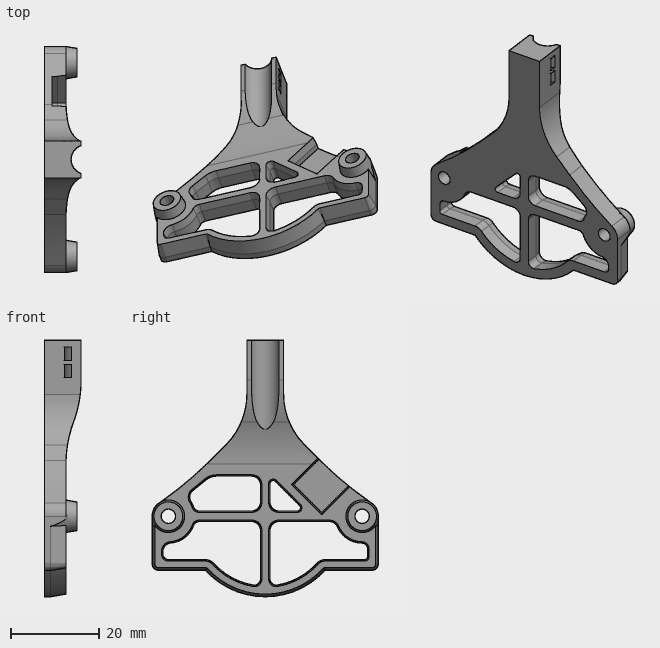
import cadquery as cq
import math

plate_thickness = 4.95
arm_thickness = 8.35
arm_half_width = 4.2
total_height = 58.1
overall_span = 51.15
half_span = overall_span / 2
draft = 10.0
straight_depth = 1.45
opening_draft_x = 3.0

ear_radius = 3.65
ear_y = half_span - ear_radius
ear_z = 18.25
hole_diameter = 3.2
boss_top_x = 7.45
boss_top_radius = 3.25

bow_radius = ear_z
foot_z = 6.0
foot_corner_radius = 1.45
flare_radius = 16.15
flare_top_z = 45.8
flare_straight_drop = 3.55

step_radius = 27.3
step_top_z = 49.1

rim = 2.45
rib_half_width = 1.1
rib_bottom_z = 17.0
rib_top_z = 19.45
window_top_z = 27.3
window_corner = 1.9
bow_corner = 1.4
tight_corner = 1.3
small_corner = 0.7
slant_corner = 3.8
slant_top = (-12.4, window_top_z)
slant_end = (-19.75, 21.3)
brace_level = 28.4

pocket_floor_x = 1.75
pocket_length = 23.25
pocket_low_side = 6.3
pocket_high_side = 19.0

groove_radius = 3.3
groove_bottom_x = 6.1
groove_axis_x = groove_bottom_x + groove_radius
slot_inner_radius = 5.3
slot_outer_radius = 6.4
slot_spans = [(49.6, 52.55), (53.45, 56.5)]

BLANK_DEPTH = 0.6
SIN45 = math.sqrt(0.5)


def disc(y, z, radius, x, depth):
    return cq.Workplane("YZ", origin=(x, 0, 0)).center(y, z).circle(radius).extrude(depth)


def box(x_span, y_span, z_span):
    spans = (x_span, y_span, z_span)
    sizes = [high - low for low, high in spans]
    return cq.Workplane("XY").box(*sizes, centered=False).translate([low for low, _ in spans])


def outline(x):
    """Closed outer contour at the given X."""
    line_top = (arm_half_width + flare_radius * (1 - SIN45), flare_top_z - flare_radius * SIN45)
    line_end = (line_top[0] + flare_straight_drop, line_top[1] - flare_straight_drop)
    flare_mid = (
        arm_half_width + flare_radius * (1 - math.cos(math.pi / 8)),
        flare_top_z - flare_radius * math.sin(math.pi / 8),
    )

    dy = line_end[0] - ear_y
    dz = line_end[1] - ear_z
    shoulder_radius = (dy**2 + dz**2 - ear_radius**2) / (2 * (ear_radius - (dy + dz) * SIN45))
    centre_y = line_end[0] + shoulder_radius * SIN45
    centre_z = line_end[1] + shoulder_radius * SIN45
    touch_angle = math.atan2(centre_z - ear_z, centre_y - ear_y)
    mid_angle = (touch_angle + math.pi / 4) / 2
    shoulder_mid = (
        centre_y - shoulder_radius * math.cos(mid_angle),
        centre_z - shoulder_radius * math.sin(mid_angle),
    )
    touch = (ear_y + ear_radius * math.cos(touch_angle), ear_z + ear_radius * math.sin(touch_angle))
    ear_mid = (
        ear_y + ear_radius * math.cos(touch_angle / 2),
        ear_z + ear_radius * math.sin(touch_angle / 2),
    )

    bow_half = math.sqrt(bow_radius**2 - (bow_radius - foot_z) ** 2)
    corner_inset = foot_corner_radius * (1 - SIN45)

    def left(point):
        return (-point[0], point[1])

    return (
        cq.Workplane("YZ", origin=(x, 0, 0))
        .moveTo(-arm_half_width, total_height)
        .lineTo(arm_half_width, total_height)
        .lineTo(arm_half_width, flare_top_z)
        .threePointArc(flare_mid, line_top)
        .lineTo(*line_end)
        .threePointArc(shoulder_mid, touch)
        .threePointArc(ear_mid, (half_span, ear_z))
        .lineTo(half_span, foot_z + foot_corner_radius)
        .threePointArc(
            (half_span - corner_inset, foot_z + corner_inset),
            (half_span - foot_corner_radius, foot_z),
        )
        .lineTo(bow_half, foot_z)
        .threePointArc((0, 0), (-bow_half, foot_z))
        .lineTo(-half_span + foot_corner_radius, foot_z)
        .threePointArc(
            (-half_span + corner_inset, foot_z + corner_inset),
            (-half_span, foot_z + foot_corner_radius),
        )
        .lineTo(-half_span, ear_z)
        .threePointArc(left(ear_mid), left(touch))
        .threePointArc(left(shoulder_mid), left(line_end))
        .lineTo(*left(line_top))
        .threePointArc(left(flare_mid), (-arm_half_width, flare_top_z))
        .close()
    )


def side_profile():
    """Solid bounded behind by the plate back, the rounded step and the arm back."""
    step = arm_thickness - plate_thickness
    step_height = math.sqrt(4 * step_radius * step - step**2)
    middle = (plate_thickness + step / 2, step_top_z - step_height / 2)
    half_turn = math.asin(step_height / 2 / step_radius) / 2
    bulge_x = step_radius * (1 - math.cos(half_turn))
    bulge_z = step_radius * math.sin(half_turn)
    step_bottom_z = step_top_z - step_height
    return (
        cq.Workplane("XZ")
        .lineTo(plate_thickness, 0)
        .lineTo(plate_thickness, step_bottom_z)
        .threePointArc((plate_thickness + bulge_x, step_bottom_z + bulge_z), middle)
        .threePointArc((arm_thickness - bulge_x, step_top_z - bulge_z), (arm_thickness, step_top_z))
        .lineTo(arm_thickness, total_height)
        .lineTo(0, total_height)
        .close()
        .extrude(half_span, both=True)
    )


def boss(y):
    height = boss_top_x - straight_depth
    base_radius = boss_top_radius + height * math.tan(math.radians(draft))
    base_centre = cq.Vector(straight_depth, y, ear_z)
    cone = cq.Solid.makeCone(base_radius, boss_top_radius, height, base_centre, cq.Vector(1, 0, 0))
    return cq.Workplane(cone)


def window(region, corners):
    """Cutter through the plate that opens towards +X behind the draft line.

    Each (y, z, radius) rounds the corner of the region nearest to (y, z).
    """
    for y, z, radius in corners:
        nearest = cq.selectors.NearestToPointSelector((BLANK_DEPTH / 2, y, z))
        region = region.edges("|X").edges(nearest).fillet(radius)
    wire = region.faces("<X").wires().val()
    upright = cq.Workplane("YZ").add(wire).toPending().extrude(opening_draft_x)
    raised = wire.translate(cq.Vector(opening_draft_x, 0, 0))
    opening = (
        cq.Workplane("YZ", origin=(opening_draft_x, 0, 0))
        .add(raised)
        .toPending()
        .extrude(plate_thickness - opening_draft_x, taper=-draft)
    )
    return upright.union(opening)


def windows():
    """Cutters for the four windows: the contour moved inward by the rim, cut up by the ribs."""
    inside = outline(0).offset2D(-rim).extrude(BLANK_DEPTH)
    for y in (ear_y, -ear_y):
        inside = inside.cut(disc(y, ear_z, ear_radius + rim, 0, BLANK_DEPTH))

    def bay(y_span, z_span):
        return inside.intersect(box((0, BLANK_DEPTH), y_span, z_span))

    foot_y = half_span - rim
    foot_top = foot_z + rim
    ear_top = ear_z - ear_radius - rim
    ear_side = ear_y - ear_radius - rim
    low_left = window(
        bay((rib_half_width, half_span), (0, rib_bottom_z)),
        [
            (rib_half_width, rib_bottom_z, window_corner),
            (rib_half_width, rim, bow_corner),
            (ear_side, rib_bottom_z, window_corner),
            (foot_y, ear_top, tight_corner),
            (foot_y, foot_top, small_corner),
        ],
    )
    low_right = window(
        bay((-half_span, -rib_half_width), (0, rib_bottom_z)),
        [
            (-rib_half_width, rib_bottom_z, window_corner),
            (-rib_half_width, rim, bow_corner),
            (-ear_side, rib_bottom_z, tight_corner),
            (-foot_y, ear_top, window_corner),
            (-foot_y, foot_top, tight_corner),
        ],
    )
    slanted = (
        cq.Workplane("YZ")
        .polyline([
            (-rib_half_width, rib_top_z),
            (-rib_half_width, window_top_z),
            slant_top,
            slant_end,
            (slant_end[0], rib_top_z),
        ])
        .close()
        .extrude(BLANK_DEPTH)
        .cut(disc(-ear_y, ear_z, ear_radius + rim, 0, BLANK_DEPTH))
    )
    slant_foot = (slant_end[0] + rim, slant_end[1] + rim)
    high_right = window(
        slanted,
        [
            (-rib_half_width, rib_top_z, window_corner),
            (-rib_half_width, window_top_z, window_corner),
            (-ear_side, rib_top_z, tight_corner),
            (*slant_top, slant_corner),
            (*slant_foot, window_corner),
        ],
    )
    brace_foot = (brace_level - rib_top_z, rib_top_z)
    brace_head = (rib_half_width, brace_level - rib_half_width)
    triangle = (
        cq.Workplane("YZ")
        .polyline([(rib_half_width, rib_top_z), brace_foot, brace_head])
        .close()
        .extrude(BLANK_DEPTH)
    )
    small = window(
        triangle,
        [
            (rib_half_width, rib_top_z, window_corner),
            (*brace_foot, small_corner),
            (*brace_head, small_corner),
        ],
    )
    return [low_left, low_right, high_right, small]


def pocket():
    """Diagonal pocket whose end wall leaves a rib along the small window."""
    end_distance = brace_level * SIN45 + rim
    width = (pocket_high_side - pocket_low_side) * SIN45
    side_distance = (pocket_high_side + pocket_low_side) / 2 * SIN45
    upright_depth = opening_draft_x - pocket_floor_x
    opening_depth = arm_thickness - opening_draft_x
    spread = 2 * opening_depth * math.tan(math.radians(draft))

    plane = cq.Plane(origin=(pocket_floor_x, 0, 0), xDir=(0, 1, 1), normal=(1, 0, 0))
    floor = cq.Workplane(plane).center(end_distance + pocket_length / 2, side_distance)
    upright = floor.rect(pocket_length, width).extrude(upright_depth)
    opening = (
        floor.workplane(offset=upright_depth)
        .rect(pocket_length, width)
        .workplane(offset=opening_depth)
        .rect(pocket_length + spread, width + spread)
        .loft(ruled=True)
    )
    return upright.union(opening)


def tie_slot(bottom_z, top_z):
    return (
        cq.Workplane("XY", origin=(groove_axis_x, 0, bottom_z))
        .circle(slot_outer_radius)
        .circle(slot_inner_radius)
        .extrude(top_z - bottom_z)
    )


bosses = boss(ear_y).union(boss(-ear_y))
full_body = outline(0).extrude(arm_thickness).intersect(side_profile())

drafted = outline(straight_depth).extrude(plate_thickness - straight_depth, taper=draft)
kept = (
    box((0, straight_depth), (-half_span, half_span), (0, total_height))
    .union(box((0, arm_thickness), (-half_span, half_span), (ear_z, total_height)))
    .union(drafted)
    .union(bosses)
)
result = full_body.intersect(kept)

for cutter in windows():
    result = result.cut(cutter)
result = result.cut(pocket())

behind_plate = box(
    (plate_thickness, boss_top_x),
    (-half_span, half_span),
    (0, total_height),
)
result = result.union(bosses.intersect(behind_plate))
for ear in (ear_y, -ear_y):
    result = result.cut(disc(ear, ear_z, hole_diameter / 2, 0, arm_thickness))

result = result.cut(
    cq.Workplane("XY", origin=(groove_axis_x, 0, 0)).circle(groove_radius).extrude(total_height)
)
for bottom_z, top_z in slot_spans:
    result = result.cut(tie_slot(bottom_z, top_z))